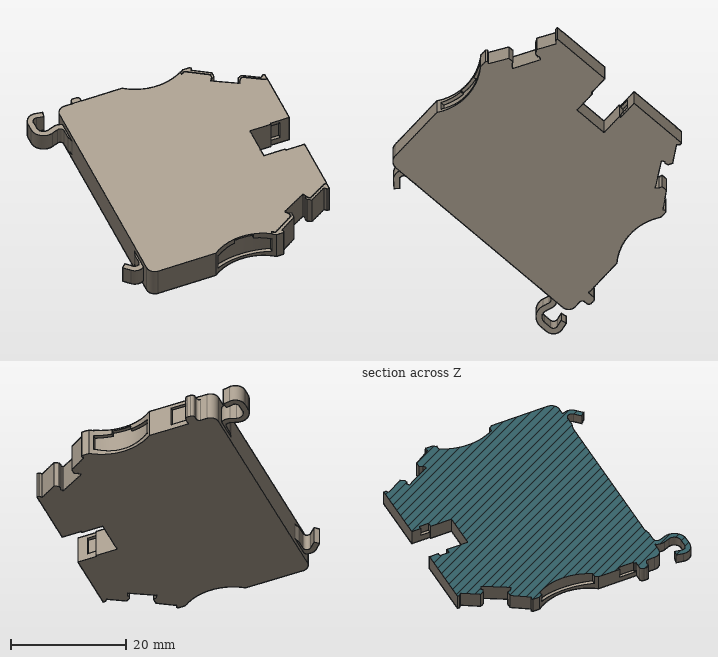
import cadquery as cq
import math


half_width = 21.0
height = 36.58
thickness = 5.75
pad_thickness = 5.65
corner_radius = 1.55

face_flank = [
    (-13.35, height), (-13.35, 36.15), (-15.35, 32.75), (-15.1, 32.25), (-14.1, 31.75),
    (-16.65, 27.25), (-17.35, 27.8), (-18.0, 27.85), (-20.45, 23.95), (-20.1, 23.3),
    (-20.6, 23.2), (-half_width, 21.85), (-half_width, 0),
]
pad_flank = [
    (-14.5, height), (-14.5, 36.15), (-14.05, 35.75), (-15.85, 32.75), (-15.45, 32.0), (-14.85, 31.8),
    (-14.65, 32.08), (-14.1, 31.75), (-16.65, 27.25), (-17.15, 27.65), (-17.4, 28.27), (-18.4, 28.27),
    (-20.35, 25.15), (-20.8, 25.4), (-half_width, 25.15),
    (-half_width, 23.85), (-20.6, 23.2), (-half_width, 21.85), (-half_width, 0),
]

slot_bottom = 29.0
slot_step = 33.05
slot_half_width = 3.15
mouth_half_width = 3.4
slot_pocket_top = 34.8
slot_pocket_depth = 0.55
slot_pocket_z = (1.3, 5.03)

scallop_radius = 9.65
scallop_y = 18.15
scallop_waist = 19.15
scallop_x = scallop_waist + scallop_radius
grip_depth = 0.6
grip_y = (13.02, 23.2)
grip_z = (1.22, 4.35)
grip_mid_z = (0.6, 4.75)
grip_tab_y = (16.75, 20.25)
grip_tab_top = 5.4

knob_reach = 1.65
knob_y = (3.3, 5.03)
knob_top = 5.0
knob_radius = 0.55
knob_foot = 0.6
latch_pocket_y = (5.4, 8.3)
latch_pocket_z = (1.05, 5.0)
latch_pocket_depth = 0.52
latch_step_depth = 0.25

strip_width = 1.05
strip_z = (1.05, 4.55)
bend_x = 16.7
bend_radius = 1.25
strip_proud = 0.3
bend_y = strip_width / 2 - bend_radius - strip_proud
strip_flat_x = 15.08
strip_end_x = 14.0
hook_low = -5.5
hook_tilt = 20.0
hook_leg = 1.15
hook_floor = 1.4
hook_tip_bend = 1.3
hook_tip_turn = 100.0
hook_tip = 1.3
latch_turn = 135.0
latch_leg = 1.57


def box(x_range, y_range, z_range):
    """Box spanning the given ranges."""
    size = [high - low for low, high in (x_range, y_range, z_range)]
    return (
        cq.Workplane("XY").box(*size, centered=False)
        .translate((x_range[0], y_range[0], z_range[0]))
    )


def polar(centre, radius, angle):
    """Point at a distance and an angle in degrees from a centre."""
    return (
        centre[0] + radius * math.cos(math.radians(angle)),
        centre[1] + radius * math.sin(math.radians(angle)),
    )


def mirror_x(shape):
    return shape.mirror("YZ")


def symmetric_plate(flank, depth):
    """Plate whose outline is the given flank and its mirror image."""
    other_flank = [(-x, y) for x, y in reversed(flank)]
    plate = cq.Workplane("XY").polyline(flank + other_flank).close().extrude(depth)
    return plate.edges("|Z").edges("<Y").fillet(corner_radius)


def scallop_cylinder(radius):
    """Cylinder through the whole thickness on the axis of the -X scallop."""
    return cq.Workplane("XY").center(-scallop_x, scallop_y).circle(radius).extrude(thickness)


def grip_pocket():
    """Recess with bowed long sides, following the floor of the -X scallop."""
    middle = sum(grip_y) / 2
    window = (
        cq.Workplane("YZ", origin=(-half_width, 0, 0))
        .moveTo(grip_y[0], grip_z[0])
        .threePointArc((middle, grip_mid_z[0]), (grip_y[1], grip_z[0]))
        .lineTo(grip_y[1], grip_z[1])
        .threePointArc((middle, grip_mid_z[1]), (grip_y[0], grip_z[1]))
        .close().extrude(half_width / 2)
    )
    tab = box((-half_width, -half_width / 2), grip_tab_y, (grip_z[0], grip_tab_top))
    return window.union(tab).intersect(scallop_cylinder(scallop_radius + grip_depth))


def top_slot():
    mouth = box((-mouth_half_width, mouth_half_width), (slot_step, height), (0, thickness))
    throat = box((-slot_half_width, slot_half_width), (slot_bottom, height), (0, thickness))
    pocket_x = mouth_half_width + slot_pocket_depth
    pockets = box((-pocket_x, pocket_x), (slot_step, slot_pocket_top), slot_pocket_z)
    return mouth.union(throat).union(pockets)


def latch_pocket():
    """Two-level pocket in the -X flank, ending at the knob."""
    deep = box((-half_width, latch_pocket_depth - half_width), latch_pocket_y, latch_pocket_z)
    step_y = (knob_y[1], latch_pocket_y[0])
    shallow = box((-half_width, latch_step_depth - half_width), step_y, latch_pocket_z)
    return deep.union(shallow)


def knob():
    bar = box((-half_width - knob_reach, -half_width), knob_y, (0, knob_top))
    bar = bar.edges("|Z and <X").fillet(knob_radius)
    foot_centre = (-half_width - knob_foot, knob_y[0] - knob_foot)
    foot = (
        cq.Workplane("XY")
        .moveTo(-half_width, knob_y[0])
        .lineTo(-half_width - knob_foot, knob_y[0])
        .threePointArc(polar(foot_centre, knob_foot, 45), (-half_width, knob_y[0] - knob_foot))
        .close().extrude(knob_top)
    )
    return bar.union(foot)


def strip_straight(start, heading, length):
    """Straight piece of strip; returns the solid and its end point."""
    end = polar(start, length, heading)
    left, right = heading + 90, heading - 90
    half = strip_width / 2
    corners = [
        polar(start, half, left), polar(end, half, left),
        polar(end, half, right), polar(start, half, right),
    ]
    return cq.Workplane("XY").polyline(corners).close().extrude(strip_z[1] - strip_z[0]), end


def strip_bend(start, heading, radius, turn):
    """Bent piece of strip, turning left for a positive turn; returns the solid and its end point."""
    side = math.copysign(90, turn)
    centre = polar(start, radius, heading + side)
    first = heading - side
    middle, last = first + turn / 2, first + turn
    inner, outer = radius - strip_width / 2, radius + strip_width / 2
    piece = (
        cq.Workplane("XY")
        .moveTo(*polar(centre, outer, first))
        .threePointArc(polar(centre, outer, middle), polar(centre, outer, last))
        .lineTo(*polar(centre, inner, last))
        .threePointArc(polar(centre, inner, middle), polar(centre, inner, first))
        .close().extrude(strip_z[1] - strip_z[0])
    )
    return piece, polar(centre, radius, last)


def bent_strip(steps):
    """Strip leaving the -X end of the lower edge.

    Each step is a straight (length, 0) or a bend (radius, turn).
    """
    point = (-bend_x, bend_y + bend_radius)
    heading = 180.0
    strip = cq.Workplane("XY")
    for size, turn in steps:
        if turn == 0:
            piece, point = strip_straight(point, heading, size)
        else:
            piece, point = strip_bend(point, heading, size, turn)
        heading += turn
        strip = strip.add(piece)
    return strip.combine().translate((0, 0, strip_z[0]))


def strip_root():
    """Part of the strip lying along the lower edge, with a sloping inner end."""
    return (
        cq.Workplane("XY", origin=(0, 0, strip_z[0]))
        .polyline([
            (-bend_x, strip_proud), (-bend_x, -strip_proud),
            (-strip_flat_x, -strip_proud), (-strip_end_x, 0), (-strip_end_x, strip_proud),
        ])
        .close().extrude(strip_z[1] - strip_z[0])
    )


def hook_foot():
    tilt = math.radians(hook_tilt)
    leg_end = bend_y - bend_radius * math.sin(tilt) - hook_leg * math.cos(tilt)
    main_bend = (leg_end - hook_low - strip_width / 2) / (1 + math.sin(tilt))
    steps = [
        (bend_radius, 90 + hook_tilt),
        (hook_leg, 0),
        (main_bend, -90 - hook_tilt),
        (hook_floor, 0),
        (hook_tip_bend, -hook_tip_turn),
        (hook_tip, 0),
    ]
    return bent_strip(steps).union(strip_root())


def latch_foot():
    steps = [(bend_radius, latch_turn), (latch_leg, 0)]
    return mirror_x(bent_strip(steps).union(strip_root()))


scallop = scallop_cylinder(scallop_radius)
grip = grip_pocket()

result = (
    symmetric_plate(face_flank, thickness)
    .union(symmetric_plate(pad_flank, pad_thickness))
    .cut(scallop).cut(mirror_x(scallop))
    .cut(grip).cut(mirror_x(grip))
    .cut(top_slot())
    .cut(latch_pocket())
    .union(knob())
    .union(hook_foot())
    .union(latch_foot())
)